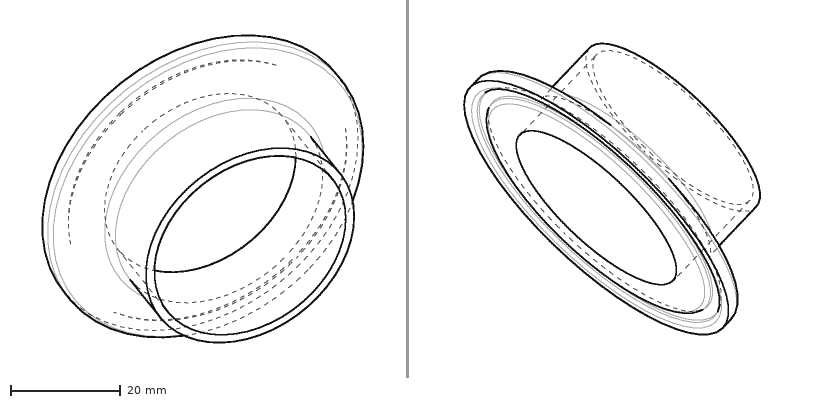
import cadquery as cq
import math

length = 21.5
flange_radius = 32.0
tube_radius = 21.1
bore_radius = 19.4

cone_angle = math.radians(20)
cone_virtual_x = 2.95
rim_round = 1.0
neck_fillet = 2.0

groove_radius = 28.2
groove_width = 4.0
groove_half_width = groove_width / 2
groove_wall_angle = math.radians(70)
groove_lip_round = 0.9
groove_bottom_round = 1.1


def circle_point(center, radius, angle):
    """Point on a circle, with the angle measured from +X towards +Y."""
    x, y = center
    return (x + radius * math.cos(angle), y + radius * math.sin(angle))


def revolve_about_x(profile):
    return profile.close().revolve(360, (0, 0, 0), (1, 0, 0))


def make_body():
    """Flange, cone and tube as one revolved ring."""
    turn = math.pi / 2 - cone_angle
    rim_tangent = rim_round * math.tan(turn / 2)
    neck_tangent = neck_fillet * math.tan(turn / 2)
    neck_virtual_x = cone_virtual_x + (flange_radius - tube_radius) * math.tan(cone_angle)

    rim_center = (cone_virtual_x - rim_tangent, flange_radius - rim_round)
    neck_center = (neck_virtual_x + neck_tangent, tube_radius + neck_fillet)
    mid_angle = (math.pi / 2 + cone_angle) / 2

    return revolve_about_x(
        cq.Workplane("XY")
        .moveTo(0, bore_radius)
        .lineTo(0, flange_radius)
        .lineTo(rim_center[0], flange_radius)
        .threePointArc(
            circle_point(rim_center, rim_round, mid_angle),
            circle_point(rim_center, rim_round, cone_angle),
        )
        .lineTo(*circle_point(neck_center, neck_fillet, math.pi + cone_angle))
        .threePointArc(
            circle_point(neck_center, neck_fillet, math.pi + mid_angle),
            (neck_center[0], tube_radius),
        )
        .lineTo(length, tube_radius)
        .lineTo(length, bore_radius)
    )


def make_groove():
    """Ring cutter: rounded lips, straight sides and a rounded bottom, all tangent."""
    angle = groove_wall_angle
    lip_x = groove_lip_round * (1 - math.cos(angle))
    lip_y = groove_half_width - groove_lip_round * math.sin(angle)
    wall_y = groove_bottom_round * math.sin(angle)
    wall_x = lip_x + (lip_y - wall_y) * math.tan(angle)
    depth = wall_x + groove_bottom_round * (1 - math.cos(angle))

    lip_mid_x = groove_lip_round * (1 - math.cos(angle / 2))
    lip_mid_y = groove_half_width - groove_lip_round * math.sin(angle / 2)

    return revolve_about_x(
        cq.Workplane("XY")
        .moveTo(0, groove_radius - groove_half_width)
        .threePointArc((lip_mid_x, groove_radius - lip_mid_y), (lip_x, groove_radius - lip_y))
        .lineTo(wall_x, groove_radius - wall_y)
        .threePointArc((depth, groove_radius), (wall_x, groove_radius + wall_y))
        .lineTo(lip_x, groove_radius + lip_y)
        .threePointArc((lip_mid_x, groove_radius + lip_mid_y), (0, groove_radius + groove_half_width))
    )


result = make_body().cut(make_groove())